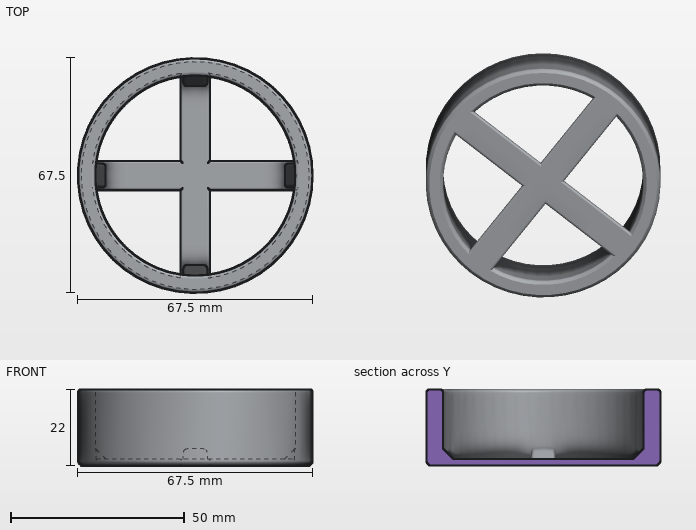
import cadquery as cq
import math

outer_diameter = 67.5
inner_diameter = 57.5
height = 22.0
top_rounding = 1.0
bottom_chamfer = 1.0
chamfer_blend = 1.0

arm_width = 8.5
arm_thickness = 2.0
arm_edge_rounding = 0.75

gusset_width = arm_width - 2 * arm_edge_rounding
gusset_size = 3.0
gusset_edge_rounding = 1.0
arm_count = 4

outer_radius = outer_diameter / 2
inner_radius = inner_diameter / 2
embed_radius = (outer_radius + inner_radius) / 2


def make_ring():
    """Revolved wall with rounded top edges and blended 45 degree chamfers at the bottom."""
    half_turn = math.radians(45) / 2
    tangent_length = chamfer_blend * math.tan(half_turn)
    tangent_step = tangent_length * math.cos(math.radians(45))
    arc_gap = chamfer_blend * (1 / math.cos(half_turn) - 1)
    arc_inset = arc_gap * math.cos(half_turn)
    arc_rise = arc_gap * math.sin(half_turn)
    blend_top = bottom_chamfer + tangent_length
    blend_bottom = bottom_chamfer - tangent_step
    blend_middle = bottom_chamfer + arc_rise

    profile = (
        cq.Workplane("XZ")
        .moveTo(inner_radius + bottom_chamfer, 0)
        .lineTo(outer_radius - bottom_chamfer, 0)
        .lineTo(outer_radius - tangent_step, blend_bottom)
        .threePointArc((outer_radius - arc_inset, blend_middle), (outer_radius, blend_top))
        .lineTo(outer_radius, height)
        .lineTo(inner_radius, height)
        .lineTo(inner_radius, blend_top)
        .threePointArc(
            (inner_radius + arc_inset, blend_middle),
            (inner_radius + tangent_step, blend_bottom),
        )
        .close()
    )
    body = profile.revolve(360, (0, 0, 0), (0, 1, 0))
    return body.faces(">Z").edges().fillet(top_rounding)


def make_cross():
    """Two crossing bars with all long edges rounded."""
    length = 2 * embed_radius
    on_base = (True, True, False)
    bar_x = cq.Workplane("XY").box(length, arm_width, arm_thickness, centered=on_base)
    bar_x = bar_x.edges("|X").fillet(arm_edge_rounding)
    bar_y = bar_x.rotate((0, 0, 0), (0, 0, 1), 90)
    return bar_x.union(bar_y)


def make_gusset():
    """Wedge on the +X arm rising at 45 degrees toward the wall, with rounded sloped edges."""
    toe = inner_radius - gusset_size
    rise = embed_radius - toe
    wedge = (
        cq.Workplane("XZ")
        .moveTo(toe, arm_thickness)
        .lineTo(embed_radius, arm_thickness)
        .lineTo(embed_radius, arm_thickness + rise)
        .close()
        .extrude(gusset_width / 2, both=True)
    )
    slope_edges = wedge.edges("not(|X or |Y or |Z)")
    return slope_edges.fillet(gusset_edge_rounding)


result = make_ring().union(make_cross())
gusset = make_gusset()
for index in range(arm_count):
    angle = index * 360 / arm_count
    result = result.union(gusset.rotate((0, 0, 0), (0, 0, 1), angle))